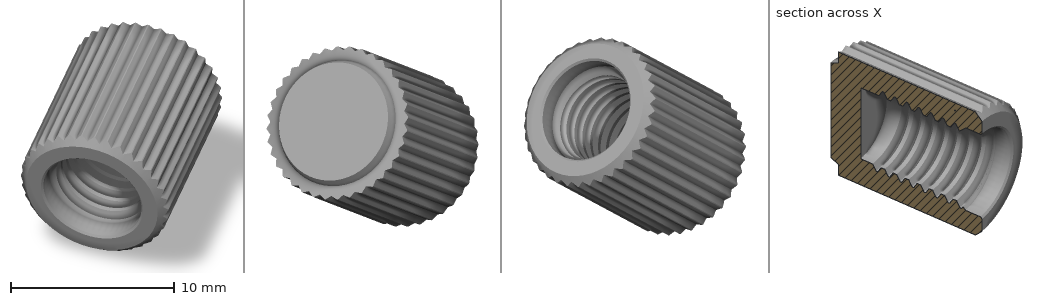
import cadquery as cq
import math


total_length = 11.43
outer_diameter = 9.53
outer_radius = outer_diameter / 2

boss_height = 0.56
boss_base_radius = 3.92
boss_end_radius = 3.67
body_length = total_length - boss_height

tooth_count = 36
tooth_depth = 0.24
crest_width = 0.07
valley_radius = outer_radius - tooth_depth
front_chamfer = 0.53

entry_radius = 3.17
lip_chamfer = 0.13
entry_depth = 1.26
minor_radius = 2.72
bore_depth = 9.14
lead_in = entry_radius - minor_radius

pitch = 0.9
root_radius = 3.15
root_width = 0.11
flank_slope = math.tan(math.radians(30))
lead_offset = 0.14
cutter_overlap = 0.11
thread_start = entry_depth + lead_offset - pitch
runout_turns = 1.0
thread_turns = (bore_depth - thread_start) / pitch - runout_turns


def on_circle(radius, angle):
    """Point at the given radius and angle (radians)."""
    return (radius * math.cos(angle), radius * math.sin(angle))


def knurled_bar():
    """Bar with narrow tooth crests on the outer circle and sharp valleys between them."""
    pitch_angle = 2 * math.pi / tooth_count
    half_crest = crest_width / 2 / outer_radius
    outline = cq.Workplane("XY").moveTo(*on_circle(outer_radius, -half_crest))
    for tooth in range(tooth_count):
        middle = tooth * pitch_angle
        outline = outline.threePointArc(
            on_circle(outer_radius, middle), on_circle(outer_radius, middle + half_crest)
        )
        outline = outline.lineTo(*on_circle(valley_radius, middle + pitch_angle / 2))
        if tooth < tooth_count - 1:
            outline = outline.lineTo(*on_circle(outer_radius, middle + pitch_angle - half_crest))
    return outline.close().extrude(body_length)


def turned(half_profile):
    """Solid of revolution about Z from (radius, height) points."""
    return cq.Workplane("XZ").polyline(half_profile).close().revolve(360, (0, 0), (0, 1))


def chamfered_envelope():
    """Turned envelope that bevels the teeth at the open end."""
    clear_radius = outer_radius + front_chamfer
    face_radius = outer_radius - front_chamfer
    return turned([
        (0, 0),
        (face_radius, 0),
        (clear_radius, clear_radius - face_radius),
        (clear_radius, body_length),
        (0, body_length),
    ])


def boss():
    """Cone frustum that closes the far end."""
    return turned([
        (0, body_length),
        (boss_base_radius, body_length),
        (boss_end_radius, total_length),
        (0, total_length),
    ])


def bore():
    """Blind hole, before threading."""
    return turned([
        (0, 0),
        (entry_radius + lip_chamfer, 0),
        (entry_radius, lip_chamfer),
        (entry_radius, entry_depth),
        (minor_radius, entry_depth + lead_in),
        (minor_radius, bore_depth),
        (0, bore_depth),
    ])


def thread_groove():
    """Trapezoid swept along a helix; it starts in the open entry and stops short of the floor."""
    inner_radius = minor_radius - cutter_overlap
    half_root = root_width / 2
    half_mouth = half_root + (root_radius - inner_radius) * flank_slope
    path = cq.Wire.makeHelix(pitch, thread_turns * pitch, minor_radius)
    section = cq.Workplane("XZ").polyline([
        (inner_radius, -half_mouth),
        (root_radius, -half_root),
        (root_radius, half_root),
        (inner_radius, half_mouth),
    ]).close()
    groove = section.sweep(cq.Workplane(path), isFrenet=True)
    return groove.translate((0, 0, thread_start))


insert = knurled_bar().intersect(chamfered_envelope()).union(boss())
insert = insert.cut(bore()).cut(thread_groove())
result = insert.rotate((0, 0, 0), (1, 0, 0), -90)